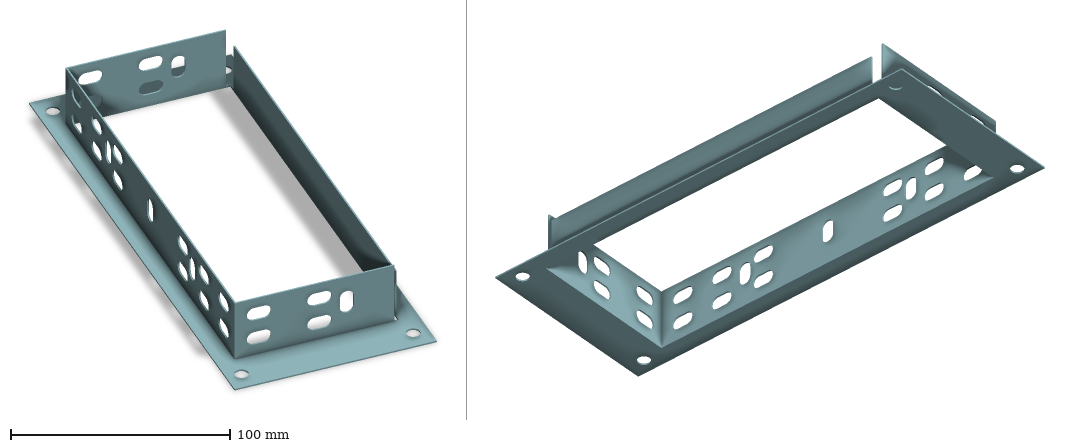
import cadquery as cq

frame_length = 245.0
frame_width = 100.0
sheet_thickness = 0.8
opening_length = 200.2
opening_width = 80.4

hole_diameter = 6.5
hole_x = 112.5
hole_y = 42.5

total_height = 32.0
rear_wall_height = 25.2
rear_wall_length = 192.5
side_wall_rear_end = 38.0
outer_x = opening_length / 2 + sheet_thickness

slot_length = 12.0
slot_width = 6.9
front_lower_z = 9.5
front_upper_z = 24.0
side_lower_z = 10.0
side_upper_z = 23.5
upright_slot_z = 18.1
front_slot_x = (39.0, 64.0, 87.5)
front_upright_slot_x = 50.0
side_slot_y = (-29.0, 1.0)
side_upright_slot_y = 14.5

FLAT = 0
UPRIGHT = 90


def make_frame():
    """Flat rectangular frame with a hole near each corner."""
    return (
        cq.Workplane("XY")
        .rect(frame_length, frame_width)
        .rect(opening_length, opening_width)
        .extrude(sheet_thickness)
        .faces(">Z")
        .workplane(origin=(0, 0, 0))
        .rect(2 * hole_x, 2 * hole_y, forConstruction=True)
        .vertices()
        .hole(hole_diameter)
    )


def make_wall(x_min, x_max, y_min, y_max, height):
    """Upright plate standing on the plane Z = 0."""
    size = (x_max - x_min, y_max - y_min, height)
    return cq.Workplane("XY").box(*size, centered=False).translate((x_min, y_min, 0))


def make_slots(plane, flat_positions, row_heights, upright_positions, reach):
    """Slot cutters: two rows of flat slots and one row of upright slots."""
    flat_centers = [(u, z) for u in flat_positions for z in row_heights]
    upright_centers = [(u, upright_slot_z) for u in upright_positions]
    flat_slots = (
        cq.Workplane(plane)
        .pushPoints(flat_centers)
        .slot2D(slot_length, slot_width, FLAT)
        .extrude(reach, both=True)
    )
    upright_slots = (
        cq.Workplane(plane)
        .pushPoints(upright_centers)
        .slot2D(slot_length, slot_width, UPRIGHT)
        .extrude(reach, both=True)
    )
    return flat_slots.union(upright_slots)


def make_front_wall():
    """Full-length front wall, its slots mirrored about the middle."""
    inner_y = -opening_width / 2
    wall = make_wall(-outer_x, outer_x, inner_y - sheet_thickness, inner_y, total_height)
    flat_positions = [side * x for x in front_slot_x for side in (-1, 1)]
    upright_positions = [-front_upright_slot_x, 0, front_upright_slot_x]
    row_heights = (front_lower_z, front_upper_z)
    return wall.cut(make_slots("XZ", flat_positions, row_heights, upright_positions, frame_width))


def make_side_walls():
    """Matching left and right walls, stopping short of the rear corners."""
    inner_x = opening_length / 2
    front_y = -opening_width / 2 - sheet_thickness
    right = make_wall(inner_x, outer_x, front_y, side_wall_rear_end, total_height)
    walls = right.union(right.mirror("YZ"))
    row_heights = (side_lower_z, side_upper_z)
    return walls.cut(make_slots("YZ", side_slot_y, row_heights, [side_upright_slot_y], frame_length))


def make_rear_wall():
    """Lower, plain rear wall, shorter than the opening."""
    half_length = rear_wall_length / 2
    inner_y = opening_width / 2
    return make_wall(-half_length, half_length, inner_y, inner_y + sheet_thickness, rear_wall_height)


result = make_frame().union(make_front_wall()).union(make_side_walls()).union(make_rear_wall())